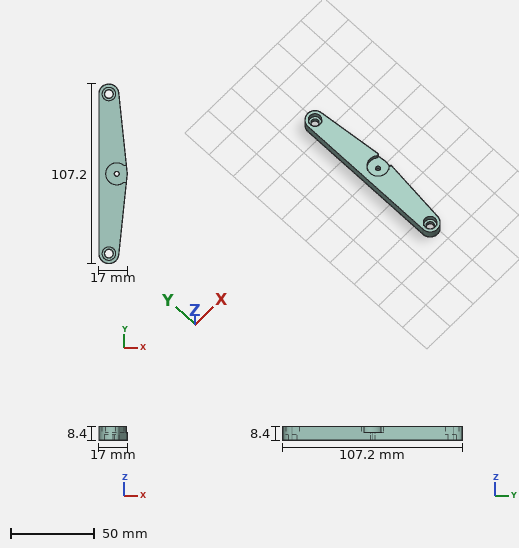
import cadquery as cq
import math

length = 107.2
width = 17.0
thickness = 8.4

end_radius = 6.0
end_offset = length / 2 - end_radius
end_hole_diameter = 5.0
counterbore_diameter = 8.0
counterbore_depth = 4.8

pocket_x = 10.7
pocket_diameter = 13.2
pocket_depth = 3.8
slot_width = 10.2
center_hole_diameter = 2.8


def arm_body():
    """Plate with a straight back and two front edges running tangent from the ends to a peak."""
    peak_reach = width - end_radius
    peak_distance = math.hypot(peak_reach, end_offset)
    tangent_angle = math.acos(end_radius / peak_distance) - math.atan2(end_offset, peak_reach)
    tangent_x = end_radius * (1 + math.cos(tangent_angle))
    tangent_y = end_offset + end_radius * math.sin(tangent_angle)
    return (
        cq.Workplane("XY")
        .moveTo(0, -end_offset)
        .lineTo(0, end_offset)
        .threePointArc((end_radius, length / 2), (tangent_x, tangent_y))
        .lineTo(width, 0)
        .lineTo(tangent_x, -tangent_y)
        .threePointArc((end_radius, -length / 2), (0, -end_offset))
        .close()
        .extrude(thickness)
    )


def center_pocket():
    """Cutter for the round pocket and the slot leading out of it."""
    floor = cq.Workplane("XY", origin=(pocket_x, 0, thickness - pocket_depth))
    round_pocket = floor.circle(pocket_diameter / 2).extrude(pocket_depth)
    slot = floor.center(width / 2, 0).rect(width, slot_width).extrude(pocket_depth)
    return round_pocket.union(slot)


result = (
    arm_body()
    .faces(">Z")
    .workplane(origin=(0, 0, thickness))
    .pushPoints([(end_radius, -end_offset), (end_radius, end_offset)])
    .cboreHole(end_hole_diameter, counterbore_diameter, counterbore_depth)
)
result = result.cut(center_pocket())
center_hole = cq.Workplane("XY").center(pocket_x, 0).circle(center_hole_diameter / 2).extrude(thickness)
result = result.cut(center_hole)